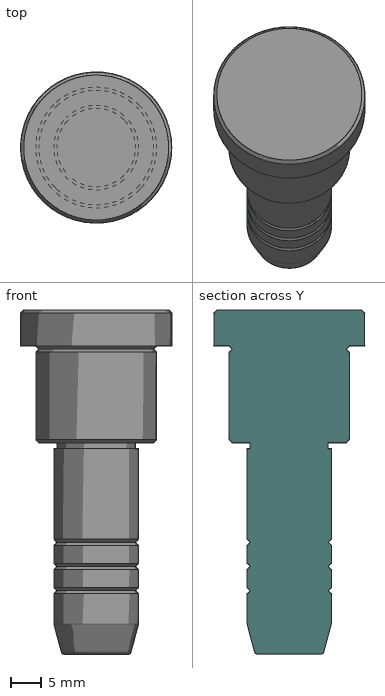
import cadquery as cq
import math

length = 57.0
head_radius = 25.0 / 2
head_height = 6.0
head_chamfer = 0.5

body_radius = 20.0 / 2
body_end_depth = 22.0
body_chamfer = 0.5

shank_radius = 7.0
neck_radius = 6.5
neck_height = 0.95

tip_height = 5.0
tip_angle = 15.0
tip_edge_radius = 0.5

groove_depth = 0.5
groove_pitch = 4.0
groove_count = 3
first_groove_position = 38.5


def cylinder(radius, bottom, top):
    return cq.Workplane("XY").workplane(offset=bottom).circle(radius).extrude(top - bottom)


def ring_cutter(outer_radius, height):
    """Diamond-section ring that cuts a V groove around a cylinder."""
    return (
        cq.Workplane("XZ")
        .moveTo(outer_radius - groove_depth, height)
        .lineTo(outer_radius, height + groove_depth)
        .lineTo(outer_radius + groove_depth, height)
        .lineTo(outer_radius, height - groove_depth)
        .close()
        .revolve(360, (0, 0), (0, 1))
    )


head_bottom = length - head_height
body_bottom = length - body_end_depth

head = cylinder(head_radius, head_bottom, length).faces(">Z").edges().chamfer(head_chamfer)

body = cylinder(body_radius, body_bottom, head_bottom).faces("<Z").edges().chamfer(body_chamfer)
body = body.cut(ring_cutter(body_radius, head_bottom - groove_depth))

neck = cylinder(neck_radius, body_bottom - neck_height, body_bottom)
shank = cylinder(shank_radius, tip_height, body_bottom - neck_height)
for index in range(groove_count):
    position = first_groove_position + index * groove_pitch
    shank = shank.cut(ring_cutter(shank_radius, length - position))

tip_end_radius = shank_radius - tip_height * math.tan(math.radians(tip_angle))
tip = (
    cq.Workplane("XZ")
    .polyline([(0, 0), (tip_end_radius, 0), (shank_radius, tip_height), (0, tip_height)])
    .close()
    .revolve(360, (0, 0), (0, 1))
    .faces("<Z")
    .edges()
    .fillet(tip_edge_radius)
)

result = head.union(body).union(neck).union(shank).union(tip)